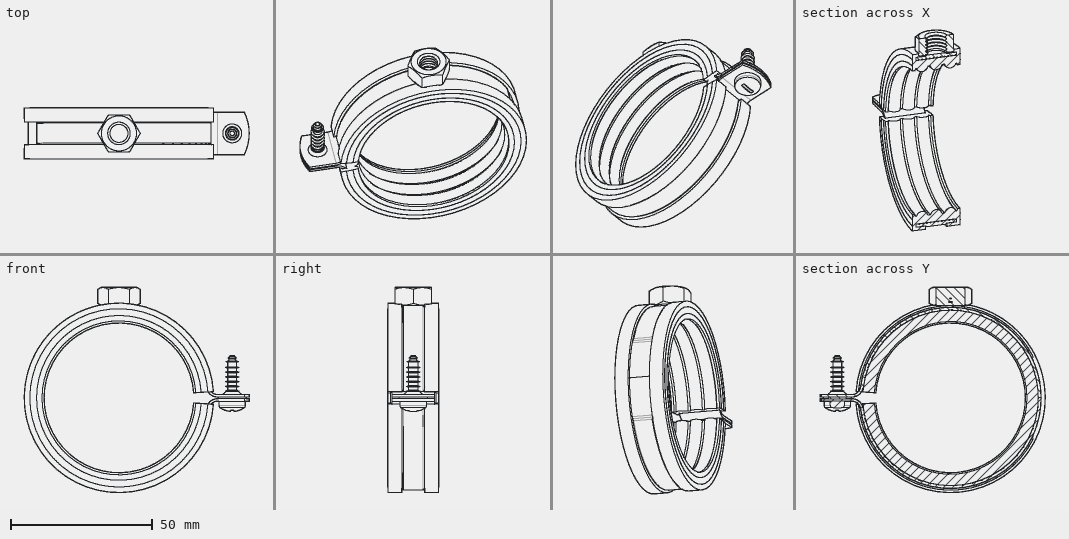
import cadquery as cq
import math


BAND_OUTER = 32.0
BAND_THICKNESS = 0.95
BAND_INNER = BAND_OUTER - BAND_THICKNESS
BAND_WIDTH = 15.1
EAR_GAP = 0.5
EAR_INNER_Z = EAR_GAP / 2
EAR_OUTER_Z = EAR_INNER_Z + BAND_THICKNESS
EAR_TIP_X = 46.0
EAR_SHOULDER_X = 44.2
BEND_RADIUS = 3.0
BEND_CENTRE_Z = EAR_OUTER_Z + BEND_RADIUS
BEND_ANGLE = math.asin(BEND_CENTRE_Z / (BAND_OUTER + BEND_RADIUS))
BEND_CENTRE_X = (BAND_OUTER + BEND_RADIUS) * math.cos(BEND_ANGLE)

RIB_OUTER = 32.55
RIB_WIDTH = 7.8
RIB_EDGE_RADIUS = 0.5
RIB_ROOT = BAND_OUTER - BAND_THICKNESS / 2
RIB_START = 3.8
RIB_END = 155.2
RIB_RAMP = 2.5

LINING_OUTER = 33.4
LINING_WIDTH = 17.95
CHANNEL_WIDTH = 7.95
SIDE_STEP = 0.1
SIDE_STEP_OUTER = 31.45
SIDE_STEP_INNER = 29.1
LIP_RADIUS = 27.15
LIP_WIDTH = 0.95
VALLEY_RADIUS = 28.1
RIDGE_RADIUS = 26.4
RIDGE_PITCH = 5.3
RIDGE_WIDTH = 4.45
GAP_HALF_ANGLE = 3.8

NUT_FLATS = 13.0
NUT_CORNER_RADIUS = NUT_FLATS / math.sqrt(3)
NUT_BOTTOM = RIB_OUTER
NUT_TOP = 39.1
NUT_FACE_RADIUS = 6.2
NUT_CHAMFER_ANGLE = 30.0
NUT_CHAMFER = (NUT_CORNER_RADIUS - NUT_FACE_RADIUS) * math.tan(math.radians(NUT_CHAMFER_ANGLE))
NUT_BORE_RADIUS = 3.2
NUT_THREAD_RADIUS = 4.0
NUT_THREAD_PITCH = 1.3
NUT_THREAD_COUNT = 4

SCREW_X = 39.9
HEAD_RADIUS = 4.7
HEAD_EDGE_RADIUS = 4.5
HEAD_SIDE_Z = -2.6
HEAD_EDGE_Z = -3.3
HEAD_BOTTOM_Z = -4.85
SLOT_WIDTH = 1.1
SLOT_DEPTH = 0.5
CORE_RADIUS = 1.6
COLLAR_RADIUS = 3.3
COLLAR_TOP_Z = 2.85
TAPER_START_Z = 12.8
TAPER_MIDDLE_Z = 13.9
TAPER_MIDDLE_RADIUS = 0.95
SCREW_TOP_Z = 14.9
SCREW_TIP_RADIUS = 0.8
THREAD_RADIUS = 2.4
THREAD_HALF_WIDTH = 0.52
THREAD_FIRST_Z = 2.4
THREAD_PITCH = 1.7
THREAD_COUNT = 6
END_THREADS = [(TAPER_START_Z, 2.15), (14.1, 1.4)]
WASHER_RADIUS = 5.0


def polar(radius, angle):
    """Point in the XZ plane at an angle in radians from +X towards +Z."""
    return (radius * math.cos(angle), radius * math.sin(angle))


def revolve_sector(profile, start, end):
    """Turn a (radius, Y) profile about the pipe axis between two angles in degrees from +X towards +Z."""
    sector = profile.revolve(end - start, (0, 0), (0, -1))
    return sector.rotate((0, 0, 0), (0, -1, 0), start)


def make_rib():
    """Raised rib with rounded sides, running from the bend to an S-shaped ramp down to the band."""
    height = RIB_OUTER - RIB_ROOT
    section = cq.Workplane("XY").moveTo(RIB_ROOT + height / 2, 0).rect(height, RIB_WIDTH)
    rib = revolve_sector(section, RIB_START, RIB_END)
    rib = rib.edges(cq.selectors.RadiusNthSelector(-1)).fillet(RIB_EDGE_RADIUS)

    rise = RIB_OUTER - BAND_OUTER

    def ramp_point(run, drop):
        return polar(RIB_OUTER - drop * rise, math.radians(RIB_END - (1 - run) * RIB_RAMP))

    above_ramp = (
        cq.Workplane("XZ")
        .moveTo(*ramp_point(0, 0))
        .threePointArc(ramp_point(1 / 4, 1 / 8), ramp_point(1 / 2, 1 / 2))
        .threePointArc(ramp_point(3 / 4, 7 / 8), ramp_point(1, 1))
        .lineTo(*ramp_point(1, -1))
        .lineTo(*ramp_point(0, -1))
        .close()
        .extrude(RIB_WIDTH, both=True)
    )
    return rib.cut(above_ramp)


def make_bend():
    """Curved strip leading from the upper half ring, tangent to it, into its flat ear."""
    middle_angle = -math.pi / 2 - (math.pi / 2 - BEND_ANGLE) / 2

    def middle_point(radius):
        x, z = polar(radius, middle_angle)
        return (BEND_CENTRE_X + x, BEND_CENTRE_Z + z)

    return (
        cq.Workplane("XZ")
        .moveTo(*polar(BAND_OUTER, BEND_ANGLE))
        .threePointArc(middle_point(BEND_RADIUS), (BEND_CENTRE_X, EAR_OUTER_Z))
        .lineTo(BEND_CENTRE_X, EAR_INNER_Z)
        .threePointArc(middle_point(BEND_RADIUS + BAND_THICKNESS), polar(BAND_INNER, BEND_ANGLE))
        .close()
        .extrude(BAND_WIDTH / 2, both=True)
    )


def make_upper_half():
    """Half ring of strip metal whose end bends outwards into a flat ear."""
    section = cq.Workplane("XY").moveTo(BAND_INNER + BAND_THICKNESS / 2, 0).rect(BAND_THICKNESS, BAND_WIDTH)
    strip = revolve_sector(section, math.degrees(BEND_ANGLE), 180)
    ear = (
        cq.Workplane("XY", origin=(0, 0, EAR_INNER_Z))
        .moveTo(BEND_CENTRE_X, -BAND_WIDTH / 2)
        .lineTo(EAR_SHOULDER_X, -BAND_WIDTH / 2)
        .threePointArc((EAR_TIP_X, 0), (EAR_SHOULDER_X, BAND_WIDTH / 2))
        .lineTo(BEND_CENTRE_X, BAND_WIDTH / 2)
        .close()
        .extrude(BAND_THICKNESS)
    )
    screw_hole = cq.Workplane("XY").center(SCREW_X, 0).circle(CORE_RADIUS).extrude(EAR_OUTER_Z)
    return strip.union(make_rib()).union(make_bend()).union(ear).cut(screw_hole)


def make_lining():
    """Split rubber ring with an outer channel, stepped sides and three rounded ridges inside."""
    side = LINING_WIDTH / 2
    step = side + SIDE_STEP
    channel = CHANNEL_WIDTH / 2
    pocket = BAND_WIDTH / 2
    profile = (
        cq.Workplane("XY")
        .moveTo(LIP_RADIUS, side)
        .lineTo(SIDE_STEP_INNER, side)
        .lineTo(SIDE_STEP_INNER, step)
        .lineTo(SIDE_STEP_OUTER, step)
        .lineTo(SIDE_STEP_OUTER, side)
        .lineTo(LINING_OUTER, side)
        .lineTo(LINING_OUTER, channel)
        .lineTo(BAND_OUTER, channel)
        .lineTo(BAND_OUTER, pocket)
        .lineTo(BAND_INNER, pocket)
        .lineTo(BAND_INNER, -pocket)
        .lineTo(BAND_OUTER, -pocket)
        .lineTo(BAND_OUTER, -channel)
        .lineTo(LINING_OUTER, -channel)
        .lineTo(LINING_OUTER, -side)
        .lineTo(SIDE_STEP_OUTER, -side)
        .lineTo(SIDE_STEP_OUTER, -step)
        .lineTo(SIDE_STEP_INNER, -step)
        .lineTo(SIDE_STEP_INNER, -side)
        .lineTo(LIP_RADIUS, -side)
        .lineTo(LIP_RADIUS, LIP_WIDTH - side)
    )
    for ridge_y in (-RIDGE_PITCH, 0, RIDGE_PITCH):
        profile = profile.lineTo(VALLEY_RADIUS, ridge_y - RIDGE_WIDTH / 2).threePointArc(
            (RIDGE_RADIUS, ridge_y), (VALLEY_RADIUS, ridge_y + RIDGE_WIDTH / 2)
        )
    profile = profile.lineTo(LIP_RADIUS, side - LIP_WIDTH).close()
    return revolve_sector(profile, GAP_HALF_ANGLE, 360 - GAP_HALF_ANGLE)


def make_nut_blank():
    """Hexagon with its flats facing +Y and -Y and both ends chamfered."""
    height = NUT_TOP - NUT_BOTTOM
    hexagon = (
        cq.Workplane("XY", origin=(0, 0, NUT_BOTTOM))
        .polygon(6, 2 * NUT_CORNER_RADIUS)
        .extrude(height)
    )
    envelope = (
        cq.Workplane("XZ", origin=(0, 0, NUT_BOTTOM))
        .lineTo(NUT_FACE_RADIUS, 0)
        .lineTo(NUT_CORNER_RADIUS, NUT_CHAMFER)
        .lineTo(NUT_CORNER_RADIUS, height - NUT_CHAMFER)
        .lineTo(NUT_FACE_RADIUS, height)
        .lineTo(0, height)
        .close()
        .revolve(360, (0, 0), (0, 1))
    )
    return hexagon.intersect(envelope)


def make_nut_bore():
    """Countersunk through bore with V-shaped thread grooves."""
    depth = NUT_THREAD_RADIUS - NUT_BORE_RADIUS
    half_groove = NUT_THREAD_PITCH / 2
    bore = (
        cq.Workplane("XZ")
        .moveTo(0, NUT_TOP)
        .lineTo(NUT_THREAD_RADIUS, NUT_TOP)
        .lineTo(NUT_BORE_RADIUS, NUT_TOP - depth)
    )
    groove_top = NUT_TOP - depth
    for turn in range(NUT_THREAD_COUNT):
        top = groove_top - turn * NUT_THREAD_PITCH
        bore = bore.lineTo(NUT_THREAD_RADIUS, top - half_groove).lineTo(NUT_BORE_RADIUS, top - NUT_THREAD_PITCH)
    bore = bore.lineTo(NUT_BORE_RADIUS, NUT_BOTTOM).lineTo(0, NUT_BOTTOM).close()
    return bore.revolve(360, (0, 0), (0, 1))


def make_thread_ridge(z, radius):
    """V-shaped ring around the screw."""
    return (
        cq.Workplane("XZ")
        .moveTo(0, z - THREAD_HALF_WIDTH)
        .lineTo(SCREW_TIP_RADIUS, z - THREAD_HALF_WIDTH)
        .lineTo(radius, z)
        .lineTo(SCREW_TIP_RADIUS, z + THREAD_HALF_WIDTH)
        .lineTo(0, z + THREAD_HALF_WIDTH)
        .close()
        .revolve(360, (0, 0), (0, 1))
    )


def make_screw():
    """Upright screw with a slotted domed head below the ears and its thread above them."""
    dome_depth = HEAD_EDGE_Z - HEAD_BOTTOM_Z
    dome_radius = (HEAD_EDGE_RADIUS**2 + dome_depth**2) / (2 * dome_depth)
    dome_half_angle = math.asin(HEAD_EDGE_RADIUS / dome_radius) / 2
    dome_middle = (
        dome_radius * math.sin(dome_half_angle),
        HEAD_BOTTOM_Z + dome_radius * (1 - math.cos(dome_half_angle)),
    )
    screw = (
        cq.Workplane("XZ")
        .moveTo(0, HEAD_BOTTOM_Z)
        .threePointArc(dome_middle, (HEAD_EDGE_RADIUS, HEAD_EDGE_Z))
        .lineTo(HEAD_RADIUS, HEAD_SIDE_Z)
        .lineTo(HEAD_RADIUS, -EAR_OUTER_Z)
        .lineTo(CORE_RADIUS, -EAR_OUTER_Z)
        .lineTo(CORE_RADIUS, EAR_OUTER_Z)
        .lineTo(COLLAR_RADIUS, EAR_OUTER_Z)
        .lineTo(CORE_RADIUS, COLLAR_TOP_Z)
        .lineTo(CORE_RADIUS, TAPER_START_Z)
        .lineTo(TAPER_MIDDLE_RADIUS, TAPER_MIDDLE_Z)
        .lineTo(SCREW_TIP_RADIUS, SCREW_TOP_Z)
        .lineTo(0, SCREW_TOP_Z)
        .close()
        .revolve(360, (0, 0), (0, 1))
    )
    threads = [(THREAD_FIRST_Z + turn * THREAD_PITCH, THREAD_RADIUS) for turn in range(THREAD_COUNT)]
    for z, radius in threads + END_THREADS:
        screw = screw.union(make_thread_ridge(z, radius))
    slot = cq.Workplane("XY").box(SLOT_WIDTH, 2 * HEAD_RADIUS, 2 * SLOT_DEPTH).translate((0, 0, HEAD_BOTTOM_Z))
    return screw.cut(slot).translate((SCREW_X, 0, 0))


def make_washer():
    """Thin washer filling the gap between the ears."""
    return (
        cq.Workplane("XY", origin=(SCREW_X, 0, -EAR_INNER_Z))
        .circle(WASHER_RADIUS)
        .circle(CORE_RADIUS)
        .extrude(EAR_GAP)
    )


upper_half = make_upper_half()
lower_half = upper_half.mirror("XY")
nut_blank = make_nut_blank()
nut = nut_blank.cut(make_nut_bore())
lining = make_lining().cut(make_bend()).cut(make_bend().mirror("XY")).cut(nut_blank)
screw = make_screw()
washer = make_washer()

result = cq.Compound.makeCompound(
    [
        lining.val(),
        upper_half.val(),
        lower_half.val(),
        nut.val(),
        screw.val(),
        washer.val(),
    ]
)